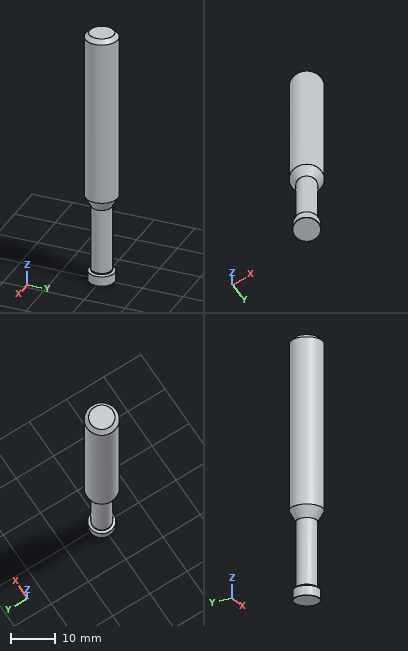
import cadquery as cq

total_length = 64.0
shank_radius = 4.0
neck_radius = 2.5
head_radius = 3.2

head_rim_height = 2.5
head_cone_top = 2.7
head_height = 3.0
neck_top = 19.3
shank_bottom = 22.0

top_chamfer = 1.0
head_bottom_chamfer = 0.05


def revolve_profile(points):
    """Turn a closed half profile of (radius, height) points about the Z axis."""
    return cq.Workplane("XZ").polyline(points).close().revolve(360, (0, 0, 0), (0, 1, 0))


def make_holder():
    """Shank with a chamfered top, tapering down to a slim neck."""
    holder = revolve_profile([
        (0, head_height),
        (neck_radius, head_height),
        (neck_radius, neck_top),
        (shank_radius, shank_bottom),
        (shank_radius, total_length),
        (0, total_length),
    ])
    return holder.faces(">Z").chamfer(top_chamfer)


def make_head():
    """Disc head with a shallow conical shoulder and a short collar below the neck."""
    head = revolve_profile([
        (0, 0),
        (head_radius, 0),
        (head_radius, head_rim_height),
        (neck_radius, head_cone_top),
        (neck_radius, head_height),
        (0, head_height),
    ])
    return head.faces("<Z").chamfer(head_bottom_chamfer)


holder = make_holder()
head = make_head()

result = cq.Compound.makeCompound([holder.val(), head.val()])